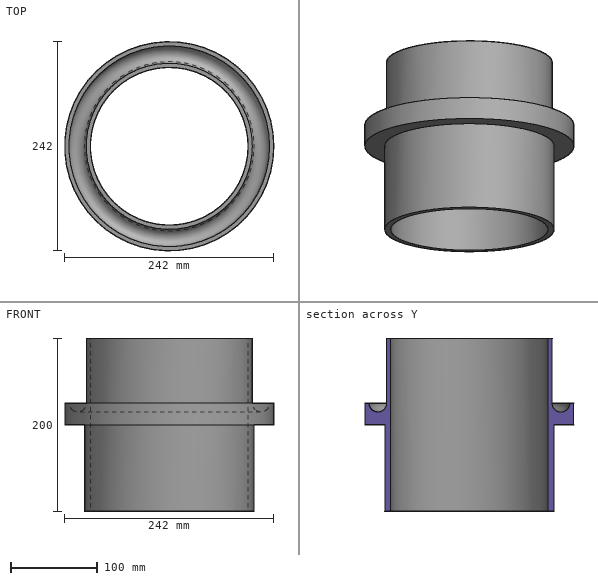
import cadquery as cq

bore_diameter = 182.0
upper_diameter = 192.0
lower_diameter = 196.0
flange_diameter = 242.0
lower_length = 100.0
flange_thickness = 25.0
upper_length = 75.0
flange_rim_width = 5.0

bore_radius = bore_diameter / 2
upper_radius = upper_diameter / 2
lower_radius = lower_diameter / 2
flange_radius = flange_diameter / 2
flange_top = lower_length + flange_thickness
total_height = flange_top + upper_length

gutter_outer_radius = flange_radius - flange_rim_width
gutter_middle_radius = (upper_radius + gutter_outer_radius) / 2
gutter_depth = (gutter_outer_radius - upper_radius) / 2


def sleeve_body():
    """Revolve the half section of the flanged sleeve around Z."""
    half_section = (
        cq.Workplane("XZ")
        .moveTo(bore_radius, 0)
        .lineTo(lower_radius, 0)
        .lineTo(lower_radius, lower_length)
        .lineTo(flange_radius, lower_length)
        .lineTo(flange_radius, flange_top)
        .lineTo(gutter_outer_radius, flange_top)
        .threePointArc(
            (gutter_middle_radius, flange_top - gutter_depth),
            (upper_radius, flange_top),
        )
        .lineTo(upper_radius, total_height)
        .lineTo(bore_radius, total_height)
        .close()
    )
    return half_section.revolve(360, (0, 0, 0), (0, 1, 0))


result = sleeve_body()